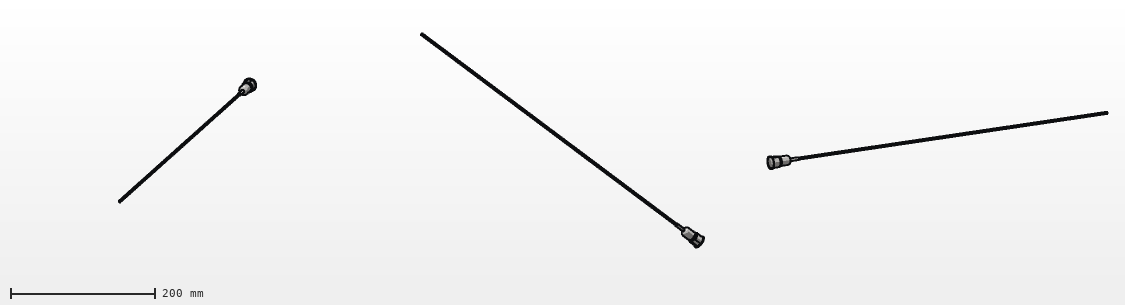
import cadquery as cq

OVERALL_LENGTH = 531.0

FLANGE_DIAMETER = 18.5
BACK_FACE_DIAMETER = 10.5
BACK_CONE_DEPTH = 1.0
FLANGE_END = 2.0

GRIP_DIAMETER = 16.0
GRIP_ACROSS_FLATS = 14.8
GRIP_CHAMFER_START = 12.4
RING_DIAMETER = 14.42
RING_START = 13.4
RING_END = 14.8
NECK_CONE_END = 15.7

COLLAR_DIAMETER = 13.5
COLLAR_END = 31.0
COLLAR_ROUNDING = 4.0

SLEEVE_DIAMETER = 4.4
SLEEVE_END = 45.0

SHAFT_SPAN = 3.4
RIB_THICKNESS = 1.3
VALLEY_RADIUS = 0.325


def cylinder(diameter, start, end):
    """A cylinder about the Y axis between two distances from the back face."""
    return cq.Workplane("XZ", origin=(0, -start, 0)).circle(diameter / 2).extrude(end - start)


def turned(stations):
    """A solid of revolution about the Y axis from (diameter, distance from the back face) stations."""
    first_distance = stations[0][1]
    last_distance = stations[-1][1]
    outline = cq.Workplane("XY").moveTo(0, -first_distance)
    for diameter, distance in stations:
        outline = outline.lineTo(diameter / 2, -distance)
    return outline.lineTo(0, -last_distance).close().revolve(360, (0, 0, 0), (0, 1, 0))


def make_flange():
    return turned([
        (BACK_FACE_DIAMETER, 0),
        (FLANGE_DIAMETER, BACK_CONE_DEPTH),
        (FLANGE_DIAMETER, FLANGE_END),
    ])


def make_grip():
    """The round grip, its end cut by a chamfer, trimmed by flats on the +Z and -Z sides."""
    round_grip = turned([
        (GRIP_DIAMETER, FLANGE_END),
        (GRIP_DIAMETER, GRIP_CHAMFER_START),
        (RING_DIAMETER, RING_START),
        (RING_DIAMETER, RING_END),
        (COLLAR_DIAMETER, NECK_CONE_END),
    ])
    between_flats = cq.Workplane("XY").box(GRIP_DIAMETER, 2 * NECK_CONE_END, GRIP_ACROSS_FLATS)
    return round_grip.intersect(between_flats)


def make_collar():
    return cylinder(COLLAR_DIAMETER, FLANGE_END, COLLAR_END).faces("<Y").edges().fillet(COLLAR_ROUNDING)


def make_shaft():
    """Two crossed ribs with full-round edges and rounded valleys, starting at the sleeve's front face."""
    def rib(angle):
        plane = cq.Workplane("XZ", origin=(0, -SLEEVE_END, 0))
        return plane.slot2D(SHAFT_SPAN, RIB_THICKNESS, angle).extrude(OVERALL_LENGTH - SLEEVE_END)

    cross = rib(0).union(rib(90))
    near_axis = cq.selectors.BoxSelector(
        (-RIB_THICKNESS, -OVERALL_LENGTH, -RIB_THICKNESS),
        (RIB_THICKNESS, 0, RIB_THICKNESS),
    )
    return cross.edges(near_axis).edges("|Y").fillet(VALLEY_RADIUS)


sleeve = cylinder(SLEEVE_DIAMETER, FLANGE_END, SLEEVE_END)
result = make_flange().union(make_grip()).union(make_collar()).union(sleeve).union(make_shaft())